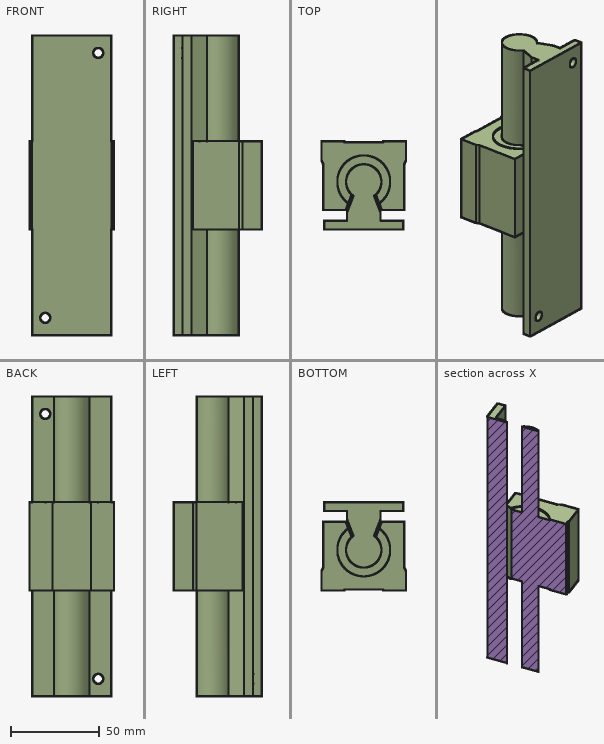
import cadquery as cq
import math


rail_length = 170.0
rod_radius = 10.0
axis_height = 27.0
plate_width = 45.0
plate_thickness = 5.0
neck_half_width = 9.5
neck_straight_top = 10.0
neck_top_half_width = 6.0

hole_diameter = 5.5
hole_offset_x = 15.0
hole_offset_z = 75.0

block_length = 50.0
block_width = 48.0
block_lower_width = 46.0
block_top = 23.0
block_underside = 16.0
shoulder_top = 12.0
shoulder_bottom = 10.0
relief_width = 22.0
relief_depth = 0.5
slot_clearance = 1.0

ring_radius = 15.0
ring_recess = 0.5
ring_length = block_length - 2 * ring_recess

plate_bottom_y = -axis_height
plate_top_y = plate_bottom_y + plate_thickness
taper_start_y = plate_bottom_y + neck_straight_top
taper_end_y = -math.sqrt(rod_radius**2 - neck_top_half_width**2)
taper_slope = (neck_half_width - neck_top_half_width) / (taper_end_y - taper_start_y)


def mirrored_outline(right_side):
    """Close an outline from its +X half, listed from bottom to top."""
    left_side = [(-x, y) for x, y in reversed(right_side)]
    return right_side + left_side


def prism(points, length):
    """Extrude an outline along Z, centred on the XY plane."""
    return cq.Workplane("XY").polyline(points).close().extrude(length / 2, both=True)


def cylinder(radius, length):
    return cq.Workplane("XY").circle(radius).extrude(length / 2, both=True)


def neck_half_width_at(y):
    """Half width of the tapered neck, extended along its flank."""
    return neck_half_width - taper_slope * (y - taper_start_y)


def make_rail():
    support = prism(
        mirrored_outline([
            (plate_width / 2, plate_bottom_y),
            (plate_width / 2, plate_top_y),
            (neck_half_width, plate_top_y),
            (neck_half_width, taper_start_y),
            (neck_top_half_width, taper_end_y),
        ]),
        rail_length,
    )
    return support.union(cylinder(rod_radius, rail_length))


def make_mounting_holes():
    return (
        cq.Workplane("XZ", origin=(0, plate_bottom_y, 0))
        .pushPoints([(hole_offset_x, hole_offset_z), (-hole_offset_x, -hole_offset_z)])
        .circle(hole_diameter / 2)
        .extrude(-plate_thickness)
    )


def make_slot():
    """Opening for the neck; its flanks run parallel to the neck and end inside the bore."""
    return prism(
        mirrored_outline([
            (neck_half_width_at(-block_underside) + slot_clearance, -block_underside),
            (neck_half_width_at(0) + slot_clearance, 0),
        ]),
        block_length,
    )


def make_block():
    body = prism(
        mirrored_outline([
            (block_lower_width / 2, -block_underside),
            (block_lower_width / 2, shoulder_bottom),
            (block_width / 2, shoulder_top),
            (block_width / 2, block_top),
            (relief_width / 2, block_top),
            (relief_width / 2, block_top - relief_depth),
        ]),
        block_length,
    )
    return body.cut(cylinder(ring_radius, block_length)).cut(make_slot())


def make_bearing_ring():
    ring = cylinder(ring_radius, ring_length).cut(cylinder(rod_radius, ring_length))
    return ring.cut(make_slot())


rail = make_rail().cut(make_mounting_holes())

result = rail.union(make_bearing_ring()).union(make_block())